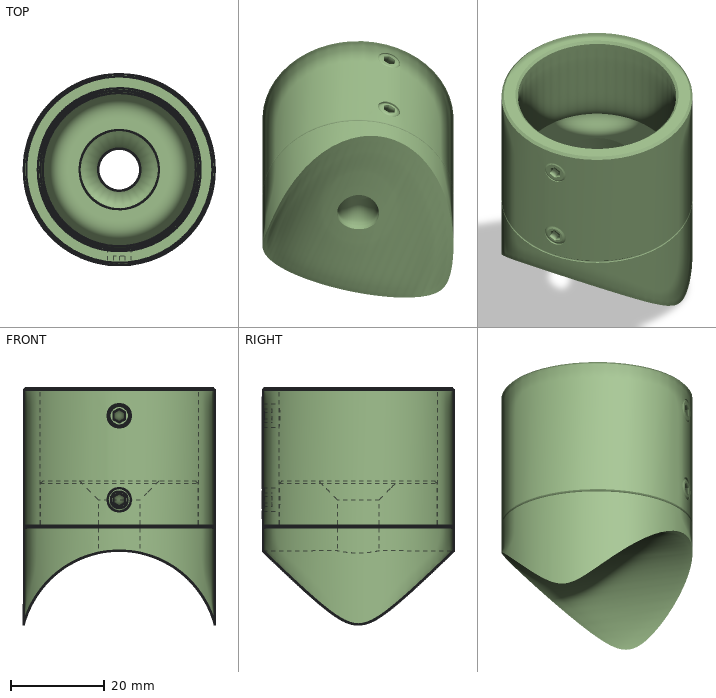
import cadquery as cq
import math

OUTER_DIAMETER = 41.0
OUTER_RADIUS = OUTER_DIAMETER / 2
TOP_HEIGHT = 50.8

SLEEVE_LENGTH = 30.0
BORE_DIAMETER = 34.0
BORE_RADIUS = BORE_DIAMETER / 2
RIM_CHAMFER = 0.5
JOINT_HEIGHT = TOP_HEIGHT - SLEEVE_LENGTH

SADDLE_RADIUS = 21.2
SPIGOT_DIAMETER = 33.9
SPIGOT_LENGTH = 10.0
SPIGOT_CHAMFER = 0.5
BOLT_HOLE_DIAMETER = 9.0
COUNTERSINK_DIAMETER = 17.0
COUNTERSINK_ANGLE = 90

SCREW_DIAMETER = 5.0
SCREW_LENGTH = OUTER_RADIUS - BORE_RADIUS
SCREW_END_DISTANCE = 6.0
UPPER_SCREW_FACE_DIAMETER = 4.2
LOWER_SCREW_FACE_DIAMETER = 3.6
SCREW_CHAMFER_ANGLE = 30
SOCKET_SIDES = 6
SOCKET_ACROSS_FLATS = 2.5
SOCKET_DEPTH = 2.0
SCREWS = [
    (TOP_HEIGHT - SCREW_END_DISTANCE, UPPER_SCREW_FACE_DIAMETER),
    (JOINT_HEIGHT + SCREW_END_DISTANCE, LOWER_SCREW_FACE_DIAMETER),
]


def radial_plane(height):
    """Plane touching the sleeve's -Y side, with its normal pointing inward (+Y)."""
    return cq.Plane(origin=(0, -OUTER_RADIUS, height), xDir=(1, 0, 0), normal=(0, 1, 0))


def make_screw_hole(height):
    """Cutter for one radial screw hole, from the outer surface into the bore."""
    return cq.Workplane(radial_plane(height)).circle(SCREW_DIAMETER / 2).extrude(OUTER_RADIUS)


def make_sleeve():
    """Tube with a chamfered top rim, a chamfered lower outer edge and a cross hole for each set screw."""
    sleeve = (
        cq.Workplane("XY", origin=(0, 0, JOINT_HEIGHT))
        .circle(OUTER_RADIUS)
        .extrude(SLEEVE_LENGTH)
        .faces("<Z").chamfer(RIM_CHAMFER)
        .faces(">Z").workplane().hole(BORE_DIAMETER)
        .faces(">Z").chamfer(RIM_CHAMFER)
    )
    for height, _ in SCREWS:
        sleeve = sleeve.cut(make_screw_hole(height))
    return sleeve


def make_saddle():
    """Base with a spigot for the sleeve, a countersunk hole and a saddle cut for a crossing tube."""
    saddle = cq.Workplane("XY").circle(OUTER_RADIUS).extrude(JOINT_HEIGHT)
    spigot = (
        cq.Workplane("XY", origin=(0, 0, JOINT_HEIGHT))
        .circle(SPIGOT_DIAMETER / 2)
        .extrude(SPIGOT_LENGTH)
        .faces(">Z").chamfer(SPIGOT_CHAMFER)
    )
    saddle = (
        saddle.union(spigot)
        .faces(">Z").workplane()
        .cskHole(BOLT_HOLE_DIAMETER, COUNTERSINK_DIAMETER, COUNTERSINK_ANGLE)
    )
    tube_axis_height = -math.sqrt(SADDLE_RADIUS**2 - OUTER_RADIUS**2)
    tube = (
        cq.Workplane("XZ", origin=(0, 0, tube_axis_height))
        .circle(SADDLE_RADIUS)
        .extrude(OUTER_DIAMETER, both=True)
    )
    return saddle.cut(tube)


def make_set_screw(height, face_diameter):
    """Set screw from the outer surface to the bore, with a chamfered face and a hexagon socket."""
    chamfer_width = (SCREW_DIAMETER - face_diameter) / 2
    chamfer_depth = chamfer_width * math.tan(math.radians(SCREW_CHAMFER_ANGLE))
    socket_corner_diameter = SOCKET_ACROSS_FLATS / math.cos(math.pi / SOCKET_SIDES)
    plane = radial_plane(height)
    screw = (
        cq.Workplane(plane)
        .circle(SCREW_DIAMETER / 2)
        .extrude(SCREW_LENGTH)
        .faces("<Y").chamfer(chamfer_depth, chamfer_width)
    )
    socket = (
        cq.Workplane(plane)
        .transformed(rotate=(0, 0, 90))
        .polygon(SOCKET_SIDES, socket_corner_diameter)
        .extrude(SOCKET_DEPTH)
    )
    return screw.cut(socket)


sleeve = make_sleeve()
saddle = make_saddle()
set_screws = [make_set_screw(height, face_diameter) for height, face_diameter in SCREWS]

result = cq.Compound.makeCompound([
    sleeve.val(),
    saddle.val(),
    *[screw.val() for screw in set_screws],
])